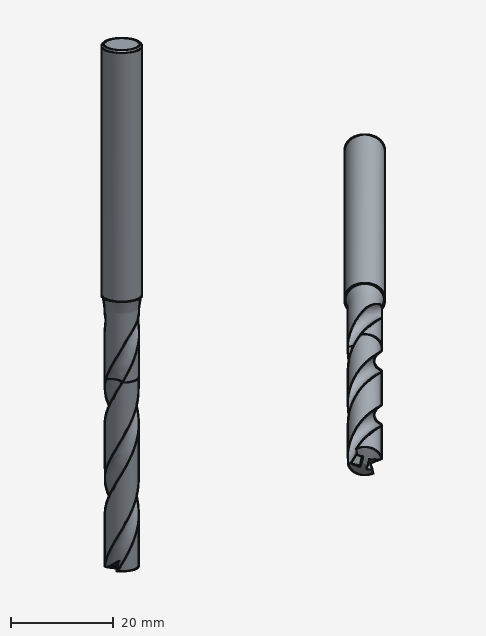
import cadquery as cq
import math

total_length = 109.0
shank_bottom = 57.1
neck_bottom = 54.5
flute_end = 53.5
flute_straight = 49.5
cutting_top = 40.2

shank_dia = 8.0
body_dia = 6.8
cutting_dia = 6.6
neck_top_dia = 7.5
shank_chamfer = 0.4
point_angle = 140.0

flute_count = 2
flute_lead = 37.4
flute_radius = 2.4
flute_core_radius = 1.9
flute_front_height = 18.7
front_angle = -90.0

gash_left = -1.1
gash_right = 1.3
gash_left_top = 1.0
gash_right_top = 2.8
gash_web = 0.7

flute_center_dist = flute_core_radius + flute_radius
point_height = cutting_dia / 2 / math.tan(math.radians(point_angle / 2))


def flute_angle(height):
    """Direction of the first flute, in degrees, at a given height."""
    return front_angle + 360.0 * (height - flute_front_height) / flute_lead


def make_flute(offset):
    """Helical groove, with a straight run-out that rises to the surface."""
    start = math.radians(flute_angle(0) + offset)
    helix = (
        cq.Workplane("XY")
        .moveTo(flute_center_dist * math.cos(start), flute_center_dist * math.sin(start))
        .circle(flute_radius)
        .twistExtrude(flute_straight, 360.0 * flute_straight / flute_lead)
    )

    rise = flute_end - flute_straight
    turn = 2 * math.pi * rise / flute_lead
    clear_dist = body_dia / 2 + flute_radius
    sideways = clear_dist * math.sin(turn)
    outward = clear_dist * math.cos(turn) - flute_center_dist
    section = cq.Wire.makeCircle(
        flute_radius, cq.Vector(flute_center_dist, 0, flute_straight), cq.Vector(0, 0, 1)
    )
    runout = cq.Solid.extrudeLinear(section, [], cq.Vector(outward, sideways, rise))
    runout = cq.Workplane(obj=runout).rotate(
        (0, 0, 0), (0, 0, 1), flute_angle(flute_straight) + offset
    )
    return helix, runout


def cut_flutes(body):
    """Cut every flute, evenly spaced about the drill axis."""
    for index in range(flute_count):
        helix, runout = make_flute(index * 360.0 / flute_count)
        body = body.cut(helix).cut(runout)
    return body


def make_holder():
    """Plain shank, tapered neck and the upper part of the fluted body."""
    holder = (
        cq.Workplane("XZ")
        .moveTo(0, cutting_top)
        .lineTo(body_dia / 2, cutting_top)
        .lineTo(body_dia / 2, neck_bottom)
        .lineTo(neck_top_dia / 2, shank_bottom)
        .lineTo(shank_dia / 2, shank_bottom)
        .lineTo(shank_dia / 2, total_length - shank_chamfer)
        .lineTo(shank_dia / 2 - shank_chamfer, total_length)
        .lineTo(0, total_length)
        .close()
        .revolve(360, (0, 0, 0), (0, 1, 0))
    )
    return cut_flutes(holder)


def cut_gashes(body):
    """Wedge notches at the foot of each flute, repeated about the drill axis."""
    gash = (
        cq.Workplane("XZ", origin=(0, -gash_web, 0))
        .moveTo(gash_left, 0)
        .lineTo(gash_left, gash_left_top)
        .lineTo(gash_right, gash_right_top)
        .lineTo(gash_right, 0)
        .close()
        .extrude(cutting_dia / 2)
    )
    for index in range(flute_count):
        body = body.cut(gash.rotate((0, 0, 0), (0, 0, 1), index * 360.0 / flute_count))
    return body


def make_cutting_head():
    """Lower fluted length with a conical, gashed point."""
    head = (
        cq.Workplane("XZ")
        .moveTo(0, 0)
        .lineTo(cutting_dia / 2, point_height)
        .lineTo(cutting_dia / 2, cutting_top)
        .lineTo(0, cutting_top)
        .close()
        .revolve(360, (0, 0, 0), (0, 1, 0))
    )
    return cut_gashes(cut_flutes(head))


holder = make_holder()
cutting_head = make_cutting_head()
result = cq.Compound.makeCompound([holder.val(), cutting_head.val()])